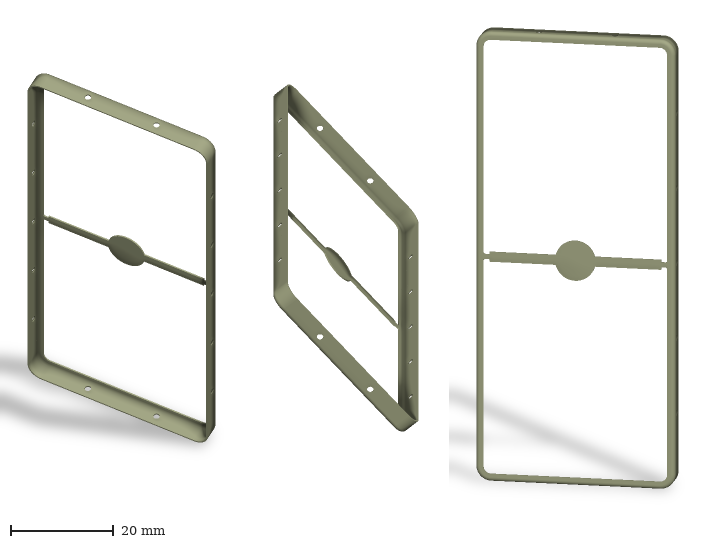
import cadquery as cq

width = 39.4
depth = 4.0
height = 90.0
corner_radius = 3.0
shell = 0.3
lip_reach = 1.5
edge_round = 0.8
inner_round = edge_round - shell

bar_width = 2.0
bar_length = 34.0
neck_width = 1.0
neck_fillet = 0.4
disc_diameter = 8.0

hole_diameter = 1.3
hole_pitch = 15.0
side_hole_count = 5
end_hole_count = 2

back = depth / 2
lip_front = back - shell
opening_width = width - 2 * lip_reach


def rounded_prism(inset, y_start, y_end):
    """Rounded rectangle, inset from the outer outline, running from y_start to y_end."""
    return (
        cq.Workplane("XZ", origin=(0, y_end, 0))
        .rect(width - 2 * inset, height - 2 * inset)
        .extrude(y_end - y_start)
        .edges("|Y")
        .fillet(corner_radius - inset)
    )


def lip_plate(length, plate_width):
    """Plate centred on the origin in X and Z, as thick as the lip and level with it."""
    return cq.Workplane("XY").box(length, shell, plate_width).translate((0, back - shell / 2, 0))


def make_frame():
    outer = rounded_prism(0, -back, back).faces(">Y").edges().fillet(edge_round)
    cavity = rounded_prism(shell, -back, lip_front).faces(">Y").edges().fillet(inner_round)
    opening = rounded_prism(lip_reach, -back, back)
    return outer.cut(cavity).cut(opening)


def make_crossbar():
    disc = cq.Workplane("XZ", origin=(0, back, 0)).circle(disc_diameter / 2).extrude(shell)
    neck_length = opening_width + lip_reach - edge_round
    necks = lip_plate(neck_length, neck_width)
    bar = lip_plate(bar_length, bar_width)
    return necks.union(bar).union(disc)


def round_neck_roots(body):
    """Fillet the four corners where the necks meet the lip."""
    reach = opening_width / 2
    tolerance = 0.1
    for side in (-1, 1):
        roots = cq.selectors.BoxSelector(
            (side * reach - tolerance, lip_front - tolerance, -neck_width),
            (side * reach + tolerance, back + tolerance, neck_width),
        )
        body = body.edges("|Y").edges(roots).fillet(neck_fillet)
    return body


def make_holes(plane, columns, rows, length):
    """Row of evenly spaced holes passing through both opposite walls."""
    return (
        cq.Workplane(plane)
        .rarray(hole_pitch, hole_pitch, columns, rows)
        .circle(hole_diameter / 2)
        .extrude(length / 2, both=True)
    )


side_holes = make_holes("YZ", 1, side_hole_count, width)
end_holes = make_holes("XY", end_hole_count, 1, height)

frame_with_bar = round_neck_roots(make_frame().union(make_crossbar()))
result = frame_with_bar.cut(side_holes).cut(end_holes)